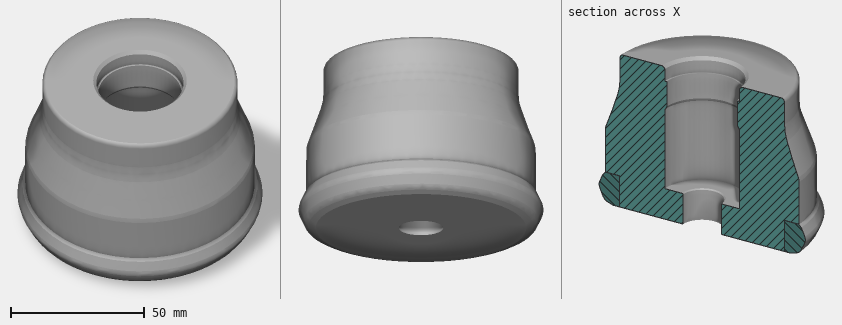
import cadquery as cq
import math

overall_diameter = 91.7
ring_outer_radius = overall_diameter / 2
ring_bore_radius = 36.7
ring_middle_height = 7.25
ring_flank_angle = 25.0
ring_crest_fillet = 2.9
ring_shoulder_chamfer = 1.0
ring_heel_radius = 43.4
ring_heel_fillet = 3.2
ring_foot_radius = 39.45

overall_height = 63.5
barrel_radius = 43.0
head_radius = 36.6
barrel_top_height = 31.3
head_bottom_height = 49.2
barrel_fillet = 5.3
neck_fillet = 19.1
top_face_radius = 35.5
head_edge_rounding = 1.9

entry_radius = 16.3
entry_chamfer = 1.2
entry_depth = 6.15
land_radius = 15.6
land_end_depth = 16.6
relief_radius = entry_radius
relief_cone_angle = 30.0
outlet_radius = 8.35
outlet_chamfer = 0.5

flank_slope = math.tan(math.radians(ring_flank_angle))
crest_cut = ring_crest_fillet * (1 / math.cos(math.radians(ring_flank_angle)) - 1)
crest_radius = ring_outer_radius + crest_cut
shoulder_radius = barrel_radius + ring_shoulder_chamfer
shoulder_height = ring_middle_height + (crest_radius - shoulder_radius) / flank_slope
heel_height = ring_middle_height - (crest_radius - ring_heel_radius) / flank_slope
ring_top = shoulder_height + ring_shoulder_chamfer
floor_height = ring_top

POSITION_TOLERANCE = 0.01


def revolve_about_z(profile):
    """Full turn about Z of a closed outline drawn in the XZ plane."""
    return profile.revolve(360, (0, 0, 0), (0, 1, 0))


def revolve_points(points):
    """Solid of revolution about Z from (radius, height) corner points."""
    return revolve_about_z(cq.Workplane("XZ").polyline(points).close())


def fillet_circle(body, radius, height, fillet):
    """Round the circular edge that has the given radius and height."""
    def is_wanted(edge):
        same_height = abs(edge.Center().z - height) < POSITION_TOLERANCE
        return same_height and abs(edge.radius() - radius) < POSITION_TOLERANCE

    return body.edges("%CIRCLE").filter(is_wanted).fillet(fillet)


def make_ring():
    """Bumper ring with a rounded crest and heel."""
    ring = revolve_points([
        (ring_bore_radius, 0),
        (ring_foot_radius, 0),
        (ring_heel_radius, heel_height),
        (crest_radius, ring_middle_height),
        (shoulder_radius, shoulder_height),
        (barrel_radius, ring_top),
        (ring_bore_radius, ring_top),
    ])
    ring = fillet_circle(ring, crest_radius, ring_middle_height, ring_crest_fillet)
    return fillet_circle(ring, ring_heel_radius, heel_height, ring_heel_fillet)


def make_housing_blank():
    """Solid outer shape: spigot inside the ring, barrel, taper and head."""
    arc_center_radius = head_radius - head_edge_rounding
    arc_angle = math.acos((top_face_radius - arc_center_radius) / head_edge_rounding)
    arc_start_height = overall_height - head_edge_rounding * math.sin(arc_angle)
    arc_middle = (
        arc_center_radius + head_edge_rounding * math.cos(arc_angle / 2),
        arc_start_height + head_edge_rounding * math.sin(arc_angle / 2),
    )
    profile = (
        cq.Workplane("XZ")
        .lineTo(ring_bore_radius, 0)
        .lineTo(ring_bore_radius, ring_top)
        .lineTo(barrel_radius, ring_top)
        .lineTo(barrel_radius, barrel_top_height)
        .lineTo(head_radius, head_bottom_height)
        .lineTo(head_radius, arc_start_height)
        .threePointArc(arc_middle, (top_face_radius, overall_height))
        .lineTo(0, overall_height)
        .close()
    )
    blank = revolve_about_z(profile)
    blank = fillet_circle(blank, barrel_radius, barrel_top_height, barrel_fillet)
    return fillet_circle(blank, head_radius, head_bottom_height, neck_fillet)


def make_bore():
    """Stepped bore from the top down to the floor, then the outlet hole."""
    land_top = overall_height - entry_depth
    land_bottom = overall_height - land_end_depth
    relief_cone_length = (relief_radius - land_radius) / math.tan(math.radians(relief_cone_angle))
    return revolve_points([
        (0, 0),
        (outlet_radius, 0),
        (outlet_radius, floor_height - outlet_chamfer),
        (outlet_radius + outlet_chamfer, floor_height),
        (relief_radius, floor_height),
        (relief_radius, land_bottom - relief_cone_length),
        (land_radius, land_bottom),
        (land_radius, land_top),
        (entry_radius, land_top),
        (entry_radius, overall_height - entry_chamfer),
        (entry_radius + entry_chamfer, overall_height),
        (0, overall_height),
    ])


ring = make_ring()
housing = make_housing_blank().cut(make_bore())

result = cq.Compound.makeCompound([housing.val(), ring.val()])